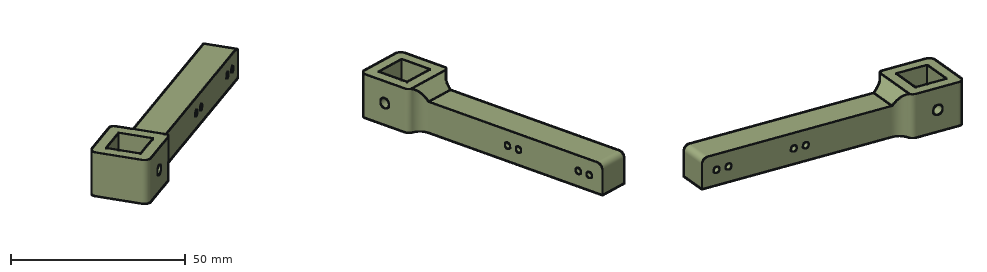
import cadquery as cq
import math

total_length = 86.0
socket_side = 18.0
socket_height = 14.0
arm_size = 10.0
corner_radius = 2.0

bore_side = 10.5
set_screw_diameter = 3.2

arm_hole_diameter = 2.0
hole_pair_starts = (4.9, 31.0)
hole_pair_pitch = 4.0

socket_half = socket_side / 2
arm_half = arm_size / 2
front_y = -socket_half
end_y = front_y + total_length

flare_radius = socket_half - arm_half
flare_start_y = socket_half + flare_radius
flare_mid_x = socket_half - flare_radius * math.cos(math.pi / 4)
flare_mid_y = flare_start_y - flare_radius * math.sin(math.pi / 4)


def make_plan_body():
    """Socket, flared neck and arm in plan, at full socket height."""
    outline = (
        cq.Workplane("XY")
        .moveTo(-socket_half, front_y)
        .lineTo(socket_half, front_y)
        .lineTo(socket_half, socket_half)
        .threePointArc((flare_mid_x, flare_mid_y), (arm_half, flare_start_y))
        .lineTo(arm_half, end_y)
        .lineTo(-arm_half, end_y)
        .lineTo(-arm_half, flare_start_y)
        .threePointArc((-flare_mid_x, flare_mid_y), (-socket_half, socket_half))
        .close()
    )
    body = outline.extrude(socket_height)
    socket_corners = cq.selectors.BoxSelector(
        (-socket_side, -socket_side, 0),
        (socket_side, socket_half + corner_radius, socket_height),
    )
    return body.edges("|Z").edges(socket_corners).fillet(corner_radius)


def make_side_profile():
    """Side silhouette: tall socket, sloping neck, lower arm with a rounded end."""
    return (
        cq.Workplane("YZ")
        .moveTo(front_y, 0)
        .lineTo(end_y, 0)
        .lineTo(end_y, arm_size - corner_radius)
        .radiusArc((end_y - corner_radius, arm_size), -corner_radius)
        .lineTo(flare_start_y, arm_size)
        .lineTo(socket_half, socket_height)
        .lineTo(front_y, socket_height)
        .close()
        .extrude(socket_half, both=True)
    )


def cross_hole(y, z, diameter):
    """Cylinder along X, long enough to cross the whole part."""
    return (
        cq.Workplane("YZ")
        .center(y, z)
        .circle(diameter / 2)
        .extrude(socket_side, both=True)
    )


result = make_plan_body().intersect(make_side_profile())

bore = cq.Workplane("XY").rect(bore_side, bore_side).extrude(socket_height)
result = result.cut(bore)

result = result.cut(cross_hole(0, socket_height / 2, set_screw_diameter))

for pair_start in hole_pair_starts:
    for offset in (0, hole_pair_pitch):
        hole_y = end_y - pair_start - offset
        result = result.cut(cross_hole(hole_y, arm_half, arm_hole_diameter))